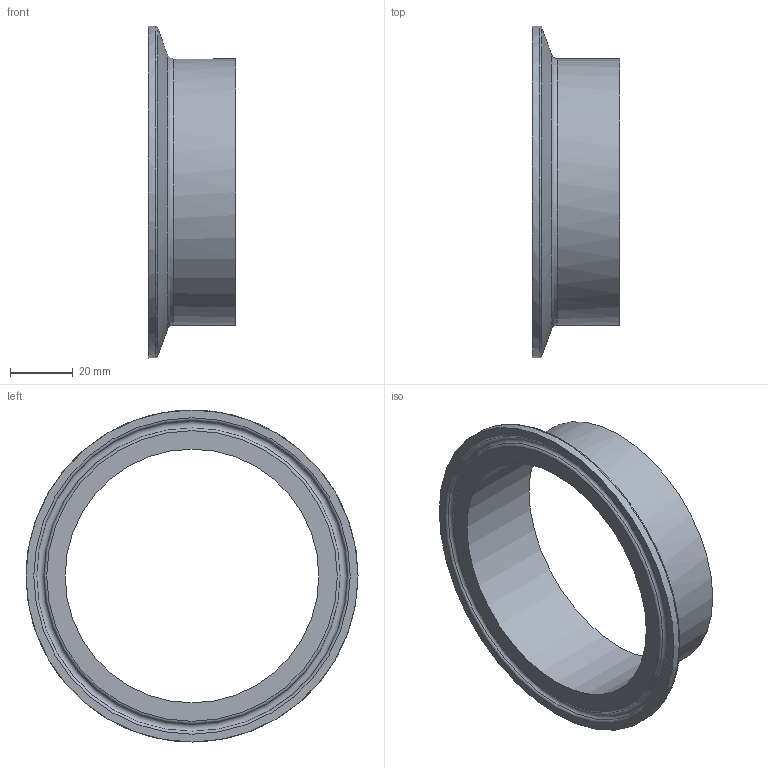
import cadquery as cq
import math

length = 28.0
bore_radius = 81.0 / 2
tube_radius = 85.0 / 2
flange_radius = 106.0 / 2

rim_thickness = 2.85
cone_angle = 20.0
rim_fillet = 0.7
neck_fillet = 2.0

groove_center_radius = 96.9 / 2
groove_floor_radius = 1.25
groove_lip_radius = 0.95
groove_wall_angle = 70.0


def make_body():
    """Revolve the ferrule: tube with a tapered flange, corners rounded."""
    cone_depth = (flange_radius - tube_radius) * math.tan(math.radians(cone_angle))
    neck_x = rim_thickness + cone_depth
    body = (
        cq.Workplane("XY")
        .moveTo(0, bore_radius)
        .lineTo(0, flange_radius)
        .lineTo(rim_thickness, flange_radius)
        .lineTo(neck_x, tube_radius)
        .lineTo(length, tube_radius)
        .lineTo(length, bore_radius)
        .close()
        .revolve(360, (0, 0, 0), (1, 0, 0))
    )
    body = round_circle(body, rim_thickness, rim_fillet)
    return round_circle(body, neck_x, neck_fillet)


def round_circle(body, x, radius):
    """Fillet the circular edge lying in the plane at the given X."""
    tolerance = 0.01
    reach = 2 * flange_radius
    edge_box = cq.selectors.BoxSelector(
        (x - tolerance, -reach, -reach),
        (x + tolerance, reach, reach),
        boundingbox=True,
    )
    return body.edges(edge_box).fillet(radius)


def make_groove():
    """Ring removed for the gasket: a round floor blending into rounded lips."""
    half_angle = math.radians(groove_wall_angle / 2)
    wall_angle = math.radians(groove_wall_angle)
    depth = (groove_lip_radius + groove_floor_radius) * (1 - math.cos(wall_angle))

    lip_middle_x = groove_lip_radius * (1 - math.cos(half_angle))
    wall_x = groove_lip_radius * (1 - math.cos(wall_angle))
    wall_offset = groove_floor_radius * math.sin(wall_angle)
    edge_offset = wall_offset + groove_lip_radius * math.sin(wall_angle)
    lip_middle_offset = edge_offset - groove_lip_radius * math.sin(half_angle)

    center = groove_center_radius
    return (
        cq.Workplane("XY")
        .moveTo(0, center - edge_offset)
        .threePointArc((lip_middle_x, center - lip_middle_offset), (wall_x, center - wall_offset))
        .threePointArc((depth, center), (wall_x, center + wall_offset))
        .threePointArc((lip_middle_x, center + lip_middle_offset), (0, center + edge_offset))
        .close()
        .revolve(360, (0, 0, 0), (1, 0, 0))
    )


result = make_body().cut(make_groove())